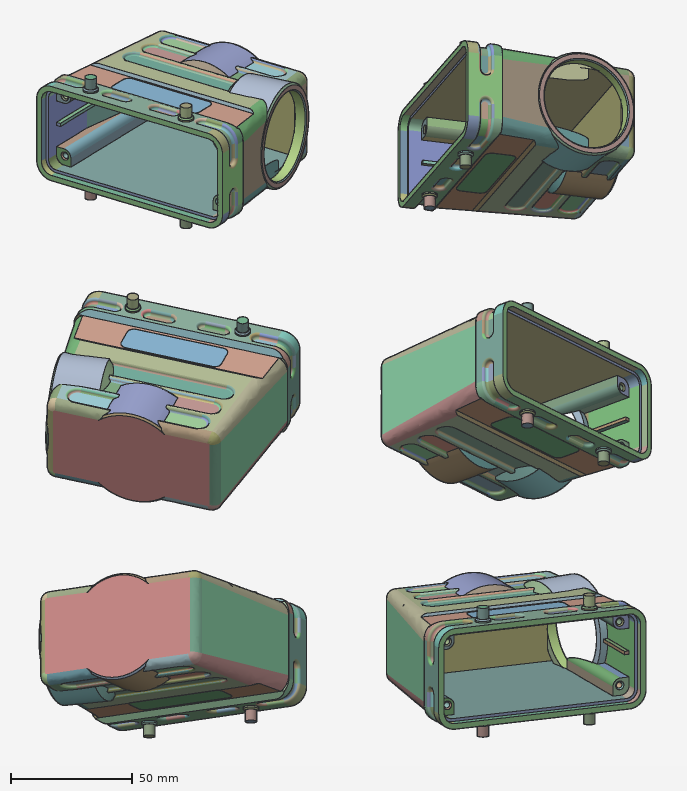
import cadquery as cq
import math

COLLAR_WIDTH = 93.51
COLLAR_HEIGHT = 43.0
COLLAR_CORNER_R = 7.5
BACK_Y = 76.0

SHOULDER_START_Y = 12.9
NECK_Y = 15.0

WALL_ANGLE = 8.5
WALL_SLOPE = math.tan(math.radians(WALL_ANGLE))
NECK_HALF_WIDTH = 46.6
BODY_HALF_HEIGHT = 20.0
NECK_HALF_HEIGHT = 19.1
NECK_END_Y = 30.4
NECK_STEP_LENGTH = 1.6
BODY_CORNER_R_NECK = 7.2
BODY_CORNER_R_BACK = 3.9
BACK_FILLET = 3.8

PANEL_SIZE = (43.8, 13.2)
PANEL_Y = 23.0
PANEL_CORNER_R = 3.0
PANEL_DEPTH = 0.1

GROOVES = [(67.65, 30.8), (56.6, 32.3), (45.5, 33.8)]
GROOVE_WIDTH = 8.7
GROOVE_DEPTH = 1.25
GROOVE_TAPER = 17.0
GROOVE_FILLET = 0.8

ENTRY_R = 22.5
ENTRY_CONE_LENGTH = 3.2
ENTRY_CONE_DROP = 3.7
ENTRY_CHAMFER = 0.8
TOP_ENTRY_Y = 53.9
SIDE_ENTRY_START = (20.8, 50.1)
SIDE_BORE_DIAMETER = 38.38
SIDE_TUBE_LENGTH = 5.0
SIDE_ENTRY_PROUD = 0.35
SIDE_BORE_CHAMFER = 0.5

SLOT_Y = 8.1
SLOT_WIDTH = 4.75
SLOT_DEPTH = 2.0
SLOT_FILLET = 0.98
MIDDLE_SLOT_X = 11.9
MIDDLE_SLOT_LENGTH = 13.5
CORNER_SLOT_END_X = 28.8
CORNER_SLOT_END_Z = 5.3

PIN_X = 24.0
PIN_Y = 6.35
PIN_DIAMETER = 4.8
PIN_SPAN = 55.0
PIN_BASE_DIAMETER = 6.5
PIN_BASE_HEIGHT = 1.3
PIN_BASE_CHAMFER = 0.65

LIP_WALL = 2.45
LIP_DEPTH = 3.3
CAVITY_WALL = 3.7
POST_Y = 9.0
FLOOR_Y = 70.5
CAVITY_TAPER_Y = 31.0
FLOOR_HALF_WIDTH = 37.4
POST_EDGE_X = 35.8
POST_EDGE_Z = 10.4
POST_CORNER_R = 3.5
SCREW_X = 38.85
SCREW_Z = 13.55
SCREW_DIAMETER = 2.5
SCREW_DEPTH = 12.0
SCREW_SINK_DIAMETER = 3.7
RIDGE_HEIGHT = 2.0
RIDGE_WIDTH = 1.4

COLLAR_HALF_WIDTH = COLLAR_WIDTH / 2
COLLAR_HALF_HEIGHT = COLLAR_HEIGHT / 2
CAVITY_HALF_WIDTH = COLLAR_HALF_WIDTH - CAVITY_WALL
CAVITY_HALF_HEIGHT = COLLAR_HALF_HEIGHT - CAVITY_WALL


def wall_x(y):
    """Half width of the tapered body at depth y."""
    return NECK_HALF_WIDTH - (y - NECK_Y) * WALL_SLOPE


def depth_plane(y):
    """Workplane across the part at depth y, facing +Y."""
    return cq.Workplane(cq.Plane(origin=(0, y, 0), xDir=(1, 0, 0), normal=(0, 1, 0)))


def collar_prism(inset, y_start, y_end):
    """Collar outline moved inwards by inset, from y_start to y_end."""
    return (
        depth_plane(y_start)
        .rect(COLLAR_WIDTH - 2 * inset, COLLAR_HEIGHT - 2 * inset)
        .extrude(y_end - y_start)
        .edges("|Y")
        .fillet(COLLAR_CORNER_R - inset)
    )


def both_faces(shape):
    """The shape together with its mirror image on the -Z face."""
    return shape.union(shape.mirror("XY"))


def four_corners(shape):
    """The shape repeated at the four corners of the XZ section."""
    return both_faces(shape.union(shape.mirror("YZ")))


def make_body():
    """Tapered hood with rounded corners, a relieved neck and the name panels."""
    def section(y, corner_r):
        outline = cq.Sketch().rect(2 * wall_x(y), 2 * BODY_HALF_HEIGHT).vertices().fillet(corner_r)
        return outline.moved(depth_plane(y).plane.location)

    body = (
        cq.Workplane()
        .placeSketch(section(NECK_Y, BODY_CORNER_R_NECK), section(BACK_Y, BODY_CORNER_R_BACK))
        .loft()
        .faces(">Y")
        .edges()
        .fillet(BACK_FILLET)
    )
    neck_relief = (
        cq.Workplane("YZ")
        .moveTo(NECK_Y, NECK_HALF_HEIGHT)
        .lineTo(NECK_END_Y, NECK_HALF_HEIGHT)
        .lineTo(NECK_END_Y + NECK_STEP_LENGTH, BODY_HALF_HEIGHT)
        .lineTo(NECK_Y, BODY_HALF_HEIGHT)
        .close()
        .extrude(COLLAR_HALF_WIDTH, both=True)
    )
    panel = (
        cq.Workplane("XY", origin=(0, PANEL_Y, NECK_HALF_HEIGHT - PANEL_DEPTH))
        .rect(*PANEL_SIZE)
        .extrude(PANEL_DEPTH)
        .edges("|Z")
        .fillet(PANEL_CORNER_R)
    )
    return body.cut(both_faces(neck_relief)).cut(both_faces(panel))


def cut_grooves(body):
    """Sink the grip grooves into both large faces and round their mouths and floors."""
    for centre_y, half_length in GROOVES:
        groove = (
            cq.Workplane("XY", origin=(0, centre_y, BODY_HALF_HEIGHT))
            .slot2D(2 * half_length, GROOVE_WIDTH)
            .extrude(-GROOVE_DEPTH, taper=GROOVE_TAPER)
            .faces("<Z")
            .edges()
            .fillet(GROOVE_FILLET)
        )
        body = body.cut(both_faces(groove))
    for side in (">Z", "<Z"):
        face = body.faces(side).val()
        rims = [edge for wire in face.innerWires() for edge in wire.Edges()]
        body = body.newObject(rims).fillet(GROOVE_FILLET)
    return body


def entry_boss(start, angle, length):
    """Round boss whose inner end runs out as a cone; its axis lies in the XY plane."""
    x_axis = (math.cos(math.radians(angle)), math.sin(math.radians(angle)), 0)
    plane = cq.Plane(origin=(start[0], start[1], 0), xDir=x_axis, normal=(0, 0, 1))
    return (
        cq.Workplane(plane)
        .moveTo(-ENTRY_CONE_LENGTH, 0)
        .lineTo(-ENTRY_CONE_LENGTH, ENTRY_R - ENTRY_CONE_DROP)
        .lineTo(0, ENTRY_R)
        .lineTo(length - ENTRY_CHAMFER, ENTRY_R)
        .lineTo(length, ENTRY_R - ENTRY_CHAMFER)
        .lineTo(length, 0)
        .close()
        .revolve(360, (0, 0, 0), (1, 0, 0))
    )


def side_entry_length():
    """Distance along the side entry axis from its start to its end, just proud of the wall."""
    start_x, start_y = SIDE_ENTRY_START
    return (wall_x(start_y) - start_x) * math.cos(math.radians(WALL_ANGLE)) + SIDE_ENTRY_PROUD


def make_collar():
    collar = collar_prism(0, 0, NECK_Y)
    shoulder = (
        cq.Workplane("YZ")
        .moveTo(0, -COLLAR_HALF_HEIGHT)
        .lineTo(SHOULDER_START_Y, -COLLAR_HALF_HEIGHT)
        .lineTo(NECK_Y, -NECK_HALF_HEIGHT)
        .lineTo(NECK_Y, NECK_HALF_HEIGHT)
        .lineTo(SHOULDER_START_Y, COLLAR_HALF_HEIGHT)
        .lineTo(0, COLLAR_HALF_HEIGHT)
        .close()
        .extrude(COLLAR_HALF_WIDTH, both=True)
    )
    return cut_collar_slots(collar.intersect(shoulder))


def collar_depth(point):
    """Distance of a point below the collar's outer surface."""
    past_x = abs(point.x) - (COLLAR_HALF_WIDTH - COLLAR_CORNER_R)
    past_z = abs(point.z) - (COLLAR_HALF_HEIGHT - COLLAR_CORNER_R)
    corner_distance = math.hypot(max(past_x, 0), max(past_z, 0))
    return COLLAR_CORNER_R - corner_distance - min(max(past_x, past_z), 0)


def slot_edges(shape, depth):
    """Slot outline edges at the given depth below the collar's outer surface."""
    tolerance = 0.01

    def is_outline(edge):
        middle = edge.positionAt(0.5)
        along_y = edge.geomType() == "LINE" and abs(edge.tangentAt(0.5).y) > 0.5
        in_slot_band = abs(middle.y - SLOT_Y) < SLOT_WIDTH
        return in_slot_band and not along_y and abs(collar_depth(middle) - depth) < tolerance

    return [edge for edge in shape.edges().vals() if is_outline(edge)]


def cut_collar_slots(collar):
    """Sink the rounded slots into the collar's large faces and around its corners."""
    overcut = 1.0
    skin = collar_prism(-overcut, 0, NECK_Y).cut(collar_prism(SLOT_DEPTH, 0, NECK_Y))
    middle = (
        cq.Workplane("XY", origin=(MIDDLE_SLOT_X, SLOT_Y, 0))
        .slot2D(MIDDLE_SLOT_LENGTH, SLOT_WIDTH)
        .extrude(COLLAR_HEIGHT)
    )
    reach = COLLAR_WIDTH
    corner_split_z = COLLAR_HALF_HEIGHT - COLLAR_CORNER_R
    along_x = (
        cq.Workplane("XY", origin=(CORNER_SLOT_END_X + reach / 2, SLOT_Y, corner_split_z))
        .slot2D(reach, SLOT_WIDTH)
        .extrude(COLLAR_HEIGHT)
    )
    corner_split_x = COLLAR_HALF_WIDTH - COLLAR_CORNER_R
    along_z = (
        cq.Workplane("YZ", origin=(corner_split_x, SLOT_Y, CORNER_SLOT_END_Z + reach / 2))
        .slot2D(reach, SLOT_WIDTH, 90)
        .extrude(COLLAR_WIDTH)
    )
    slots = skin.intersect(middle).union(skin.intersect(along_x.union(along_z)))
    slots = slots.newObject(slot_edges(slots, SLOT_DEPTH)).fillet(SLOT_FILLET)
    collar = collar.cut(four_corners(slots))

    mouths = slot_edges(collar, 0)
    return collar.newObject(mouths).fillet(SLOT_FILLET)


def make_pins():
    base_z = COLLAR_HALF_HEIGHT - SLOT_DEPTH
    base = (
        cq.Workplane("XY", origin=(PIN_X, PIN_Y, base_z))
        .circle(PIN_BASE_DIAMETER / 2)
        .extrude(SLOT_DEPTH + PIN_BASE_HEIGHT)
        .faces(">Z")
        .chamfer(PIN_BASE_CHAMFER)
    )
    pin = (
        cq.Workplane("XY", origin=(PIN_X, PIN_Y, base_z))
        .circle(PIN_DIAMETER / 2)
        .extrude(PIN_SPAN / 2 - base_z)
    )
    return four_corners(base.union(pin))


def make_cavity():
    """Everything hollow behind the mating opening, less the posts, ridges and entry tube."""
    lip = collar_prism(LIP_WALL, 0, LIP_DEPTH)
    mouth = collar_prism(CAVITY_WALL, 0, POST_Y)
    chamber = (
        cq.Workplane("XY")
        .moveTo(-CAVITY_HALF_WIDTH, POST_Y)
        .lineTo(CAVITY_HALF_WIDTH, POST_Y)
        .lineTo(CAVITY_HALF_WIDTH, CAVITY_TAPER_Y)
        .lineTo(FLOOR_HALF_WIDTH, FLOOR_Y)
        .lineTo(-FLOOR_HALF_WIDTH, FLOOR_Y)
        .lineTo(-CAVITY_HALF_WIDTH, CAVITY_TAPER_Y)
        .close()
        .extrude(CAVITY_HALF_HEIGHT, both=True)
    )
    post_width = COLLAR_HALF_WIDTH - POST_EDGE_X
    post_height = COLLAR_HALF_HEIGHT - POST_EDGE_Z
    post = (
        cq.Workplane("XY")
        .box(post_width, FLOOR_Y - POST_Y, post_height, centered=False)
        .edges("|Y and <X and <Z")
        .fillet(POST_CORNER_R)
        .translate((POST_EDGE_X, POST_Y, POST_EDGE_Z))
    )
    chamber = chamber.cut(four_corners(post)).cut(make_ridges()).cut(side_entry_tube(ENTRY_R))
    return lip.union(mouth).union(chamber)


def make_ridges():
    ridge_edge_x = CAVITY_HALF_WIDTH - RIDGE_HEIGHT
    length = COLLAR_HALF_WIDTH - ridge_edge_x
    ridge = cq.Workplane("XY").box(length, FLOOR_Y - POST_Y, RIDGE_WIDTH, centered=(False, False, True))
    ridge = ridge.translate((ridge_edge_x, POST_Y, 0))
    return ridge.union(ridge.mirror("YZ"))


def make_screw_holes():
    sink = (SCREW_SINK_DIAMETER - SCREW_DIAMETER) / 2
    radius = SCREW_DIAMETER / 2
    hole = (
        cq.Workplane("XY", origin=(SCREW_X, POST_Y, SCREW_Z))
        .moveTo(0, 0)
        .lineTo(radius + sink, 0)
        .lineTo(radius, sink)
        .lineTo(radius, SCREW_DEPTH)
        .lineTo(0, SCREW_DEPTH + radius)
        .close()
        .revolve(360, (0, 0, 0), (0, 1, 0))
    )
    return four_corners(hole)


def side_entry_plane(distance):
    """Workplane across the side entry axis, at a distance along it from the boss start."""
    angle = math.radians(WALL_ANGLE)
    axis = cq.Vector(math.cos(angle), math.sin(angle), 0)
    origin = cq.Vector(*SIDE_ENTRY_START) + axis * distance
    return cq.Workplane(cq.Plane(origin=origin.toTuple(), xDir=(0, 0, 1), normal=axis.toTuple()))


def side_entry_tube(radius):
    """Cylinder on the side entry axis, from the tube's inner end to its outer end."""
    inner_end = side_entry_length() - SIDE_TUBE_LENGTH
    return side_entry_plane(inner_end).circle(radius).extrude(SIDE_TUBE_LENGTH)


def make_side_bore():
    radius = SIDE_BORE_DIAMETER / 2
    mouth = (
        side_entry_plane(side_entry_length())
        .circle(radius + SIDE_BORE_CHAMFER)
        .extrude(-SIDE_BORE_CHAMFER, taper=45)
    )
    return side_entry_tube(radius).union(mouth)


shell = cut_grooves(make_body())
shell = shell.union(entry_boss((0, TOP_ENTRY_Y), 90, BACK_Y - TOP_ENTRY_Y))
shell = shell.union(entry_boss(SIDE_ENTRY_START, WALL_ANGLE, side_entry_length()))
shell = shell.union(make_collar()).union(make_pins())
result = shell.cut(make_cavity()).cut(make_side_bore()).cut(make_screw_holes())